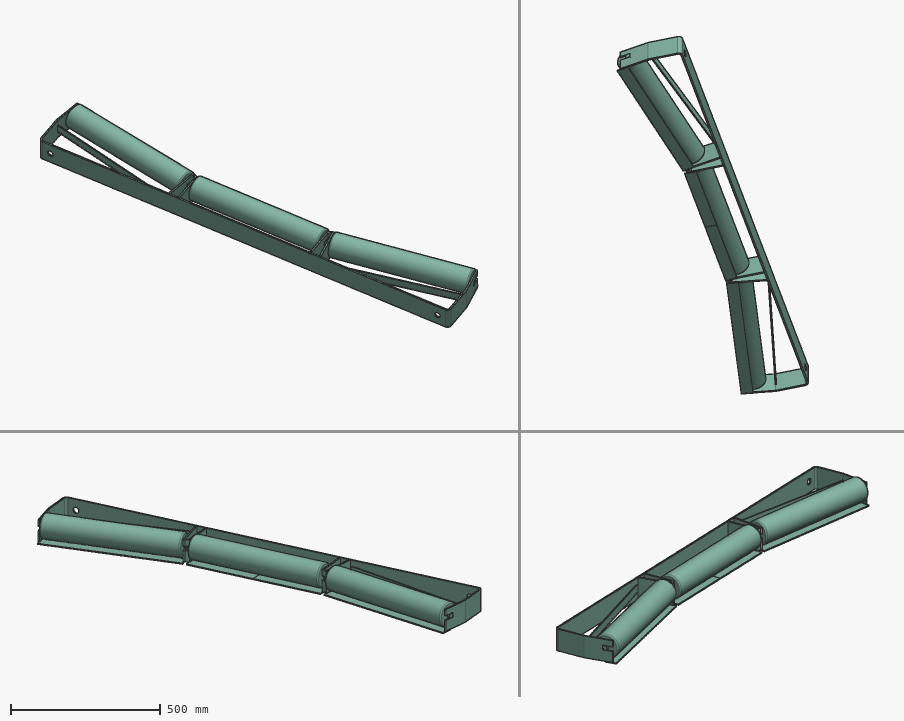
import cadquery as cq
import math

frame_length = 1600.0
overall_depth = 232.55
bar_height = 80.0
bar_thickness = 6.0
corner_outer_radius = 14.0
corner_inner_radius = corner_outer_radius - bar_thickness
arm_kink_y = 116.0
arm_end_y = 219.0
bolt_hole_diameter = 22.0
bolt_hole_inset = 45.0

toe_angle = 10.0
toe_sin = math.sin(math.radians(toe_angle))
toe_cos = math.cos(math.radians(toe_angle))
toe_tan = toe_sin / toe_cos
roller_diameter = 89.0
roller_length = 500.0
roller_fillet = 5.0
axle_diameter = 17.0
axis_z = 49.0
support_inner = 254.0
support_outer = support_inner + bar_thickness
ledge_reach = (support_inner + support_outer) / 2
slot_overrun = 10.0
slot_reach = support_outer + slot_overrun

half_length = frame_length / 2
arm_inner_x = half_length - bar_thickness
middle_y = 100.0
rim_center_along = roller_length / 2 - roller_fillet
rim_center_across = roller_diameter / 2 - roller_fillet
side_y = overall_depth - rim_center_along * toe_sin - rim_center_across * toe_cos - roller_fillet
side_x = arm_inner_x - (support_inner + (side_y - arm_kink_y) * toe_sin) / toe_cos

bracket_middle_end_y = 122.0
bracket_side_end_y = 131.0

strut_foot_x = 318.0
strut_head_y = 113.0
strut_thickness = 4.0
strut_height = 30.0
strut_bottom_z = 27.0

ledge_width = 40.0
ledge_thickness = 4.0


def at_roller(shape, side):
    """Move a shape from roller coordinates to the left (-1), middle (0) or right (1) roller."""
    middle = (side * side_x, side_y if side else middle_y, axis_z)
    return shape.rotate((0, 0, 0), (0, 0, 1), side * toe_angle).translate(middle)


def prism(points, side, height):
    """Upright prism from an outline given for the right side, mirrored in X when side is -1."""
    return cq.Workplane("XY").polyline([(side * x, y) for x, y in points]).close().extrude(height)


def make_roller(side):
    shell = cq.Workplane("YZ").circle(roller_diameter / 2).extrude(roller_length)
    shell = shell.faces("<X or >X").edges().fillet(roller_fillet).translate((-roller_length / 2, 0, 0))
    axle = cq.Workplane("YZ").circle(axle_diameter / 2).extrude(2 * support_outer)
    axle = axle.translate((-support_outer, 0, 0))
    return at_roller(shell.union(axle), side)


def axle_slot(side):
    """Cutter for the axle slots, open toward +Y so the roller drops in from the front."""
    slot_depth = roller_diameter
    slot = cq.Workplane("XY").box(2 * slot_reach, slot_depth, axle_diameter)
    return at_roller(slot.translate((0, (slot_depth - axle_diameter) / 2, 0)), side)


def make_ledge(side):
    """Strip running from the axle line to the front, just below the frame."""
    ledge = cq.Workplane("XY").box(2 * ledge_reach, ledge_width, ledge_thickness)
    return at_roller(ledge.translate((0, ledge_width / 2, -axis_z - ledge_thickness / 2)), side)


def make_half_frame(side):
    arm_lean = (arm_end_y - arm_kink_y) * toe_tan
    outline = [
        (0, 0),
        (half_length, 0),
        (half_length, arm_kink_y),
        (half_length - arm_lean, arm_end_y),
        (arm_inner_x - arm_lean, arm_end_y),
        (arm_inner_x, arm_kink_y),
        (arm_inner_x, bar_thickness),
        (0, bar_thickness),
    ]
    half = prism(outline, side, bar_height)
    outer_corner = (side * half_length, 0, bar_height / 2)
    half = half.edges(cq.selectors.NearestToPointSelector(outer_corner)).fillet(corner_outer_radius)
    inner_corner = (side * arm_inner_x, bar_thickness, bar_height / 2)
    half = half.edges(cq.selectors.NearestToPointSelector(inner_corner)).fillet(corner_inner_radius)
    bolt_hole = (
        cq.Workplane("XZ")
        .center(side * (half_length - bolt_hole_inset), bar_height / 2)
        .circle(bolt_hole_diameter / 2)
        .extrude(-bar_thickness)
    )
    return half.cut(bolt_hole).cut(axle_slot(side)).union(make_ledge(side))


def side_leg_x(distance, y):
    """X of a plane square to the right roller's axle, at this distance inward of its middle."""
    return side_x - (distance + (y - side_y) * toe_sin) / toe_cos


def make_bracket(side):
    """Folded bracket: a straight leg, a leaning leg and a bridge, with half the middle ledge."""
    bridge_middle_y = bracket_middle_end_y - bar_thickness
    bridge_side_y = bracket_side_end_y - bar_thickness
    outline = [
        (support_inner, bar_thickness),
        (support_inner, bracket_middle_end_y),
        (side_leg_x(support_inner, bracket_side_end_y), bracket_side_end_y),
        (side_leg_x(support_inner, bar_thickness), bar_thickness),
        (side_leg_x(support_outer, bar_thickness), bar_thickness),
        (side_leg_x(support_outer, bridge_side_y), bridge_side_y),
        (support_outer, bridge_middle_y),
        (support_outer, bar_thickness),
    ]
    bracket = prism(outline, side, bar_height).cut(axle_slot(0)).cut(axle_slot(side))
    half_space = cq.Workplane("XY").box(frame_length, frame_length, frame_length)
    half_ledge = make_ledge(0).intersect(half_space.translate((side * half_length, 0, 0)))
    return bracket.union(half_ledge)


def make_strut(side):
    """Slanting flat bar from the strap to the arm, its head trimmed to the arm's bend."""
    run = arm_inner_x - strut_foot_x
    rise = strut_head_y - bar_thickness
    slant = math.hypot(run, rise)
    outline = [
        (strut_foot_x, bar_thickness),
        (arm_inner_x, strut_head_y),
        (arm_inner_x, strut_head_y + strut_thickness * slant / run),
        (strut_foot_x - strut_thickness * slant / rise, bar_thickness),
    ]
    return prism(outline, side, strut_height).translate((0, 0, strut_bottom_z)).cut(frame)


frame = make_half_frame(-1).union(make_half_frame(1))
rollers = [make_roller(side) for side in (-1, 0, 1)]
brackets = [make_bracket(side) for side in (-1, 1)]
struts = [make_strut(side) for side in (-1, 1)]

bodies = [frame, *rollers, *brackets, *struts]
result = cq.Compound.makeCompound([body.val() for body in bodies])